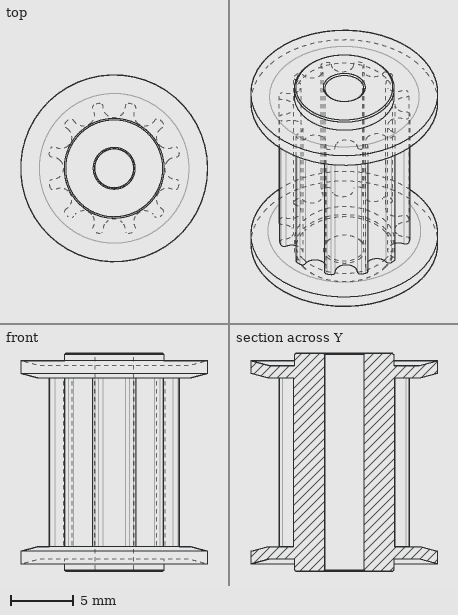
import cadquery as cq
import math

length = 17.5
hub_radius = 4.0
bore_radius = 1.55
edge_chamfer = 0.12

flange_diameter = 15.0
flange_radius = flange_diameter / 2
flange_thickness = 1.0
flange_inset = 1.0
outer_bend_radius = 6.0
bend_angle = math.radians(15)

tooth_count = 12
tip_radius = 5.35
root_radius = 4.06
groove_radius = 0.9
tip_fillet = 0.28


def polar(radius, angle, center=(0, 0)):
    """Point at a radius and an angle (from +X) around a center."""
    return (center[0] + radius * math.cos(angle), center[1] + radius * math.sin(angle))


def make_barrel():
    """Solid barrel with round grooves and rounded tooth tips; the first groove faces +X."""
    pitch = 2 * math.pi / tooth_count
    groove_center_radius = root_radius + groove_radius
    fillet_center_radius = tip_radius - tip_fillet

    fillet_angle = math.acos(
        (fillet_center_radius**2 + groove_center_radius**2 - (groove_radius + tip_fillet) ** 2)
        / (2 * fillet_center_radius * groove_center_radius)
    )
    fillet_x, fillet_y = polar(fillet_center_radius, fillet_angle)
    contact_angle = math.atan2(fillet_y, fillet_x - groove_center_radius)
    fillet_mid_angle = (contact_angle - math.pi + fillet_angle) / 2

    profile = cq.Workplane("XY").moveTo(*polar(tip_radius, -fillet_angle))
    for index in range(tooth_count):
        middle = index * pitch
        groove_center = polar(groove_center_radius, middle)
        entry_fillet = polar(fillet_center_radius, middle - fillet_angle)
        exit_fillet = polar(fillet_center_radius, middle + fillet_angle)
        profile = (
            profile.threePointArc(
                polar(tip_fillet, middle - fillet_mid_angle, entry_fillet),
                polar(groove_radius, middle - contact_angle, groove_center),
            )
            .threePointArc(
                polar(root_radius, middle),
                polar(groove_radius, middle + contact_angle, groove_center),
            )
            .threePointArc(
                polar(tip_fillet, middle + fillet_mid_angle, exit_fillet),
                polar(tip_radius, middle + fillet_angle),
            )
        )
        profile = profile.threePointArc(
            polar(tip_radius, middle + pitch / 2),
            polar(tip_radius, middle + pitch - fillet_angle),
        )
    barrel_height = length - 2 * (flange_inset + flange_thickness / 2)
    return profile.close().extrude(barrel_height / 2, both=True)


def make_hub():
    """Round hub over the full length, chamfered at both ends."""
    hub = cq.Workplane("XY").circle(hub_radius).extrude(length / 2, both=True)
    return hub.faces("<Z or >Z").edges().chamfer(edge_chamfer)


def make_top_flange():
    """Bent sheet flange of constant thickness around the Z axis."""
    outer_z = length / 2 - flange_inset
    inner_z = outer_z - flange_thickness
    inner_bend_radius = outer_bend_radius + flange_thickness * math.tan(bend_angle / 2)
    outer_rim_z = outer_z + (flange_radius - outer_bend_radius) * math.tan(bend_angle)
    inner_rim_z = inner_z + (flange_radius - inner_bend_radius) * math.tan(bend_angle)
    return (
        cq.Workplane("XZ")
        .moveTo(0, inner_z)
        .lineTo(inner_bend_radius, inner_z)
        .lineTo(flange_radius, inner_rim_z)
        .lineTo(flange_radius, outer_rim_z)
        .lineTo(outer_bend_radius, outer_z)
        .lineTo(0, outer_z)
        .close()
        .revolve(360, (0, 0), (0, 1))
    )


def cut_bore(body):
    """Through bore, chamfered at both ends."""
    bored = body.faces(">Z").workplane().circle(bore_radius).cutThruAll()
    mouths = bored.faces("<Z or >Z").edges(cq.selectors.RadiusNthSelector(0))
    return mouths.chamfer(edge_chamfer)


top_flange = make_top_flange()
bottom_flange = top_flange.mirror("XY")
blank = make_hub().union(make_barrel()).union(top_flange).union(bottom_flange)
result = cut_bore(blank)